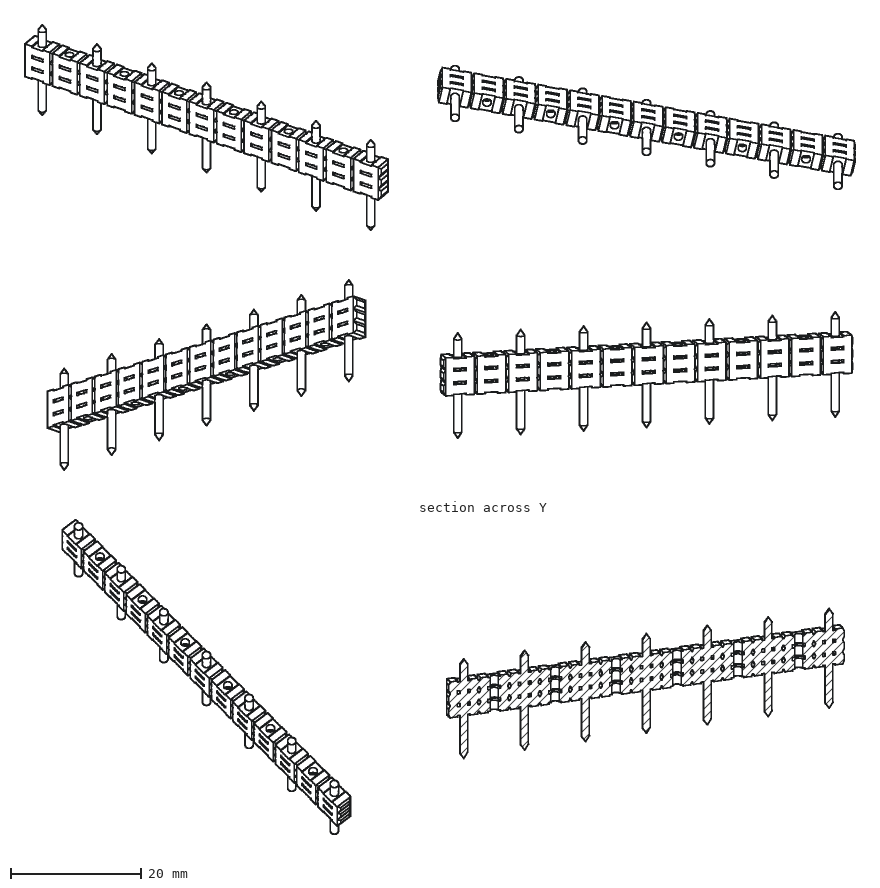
import cadquery as cq

ROW_LENGTH = 65.0
BLOCK_COUNT = 13
ROW_DEPTH = 2.8
BLOCK_HEIGHT = 6.0
PITCH = ROW_LENGTH / BLOCK_COUNT

LUG_COUNT = 3
LUG_LENGTH = 0.25
LUG_TAPER_INSET = 0.5
LUG_HEIGHT = BLOCK_HEIGHT / LUG_COUNT
BLOCK_LENGTH = PITCH - 2 * LUG_LENGTH

RECESS_LENGTH = 2.0
RECESS_DEPTH = 0.2
SLOT_LENGTH = 2.0
SLOT_HEIGHT = 0.45
SLOT_SPACING = 2.1

PIN_DIAMETER = 1.3
PIN_LENGTH = 16.5
PIN_TOP = 6.5
PIN_TIP_LENGTH = 1.0
PIN_STEP = 2


def make_lug(side, z):
    """Four-sided tapered lug growing along X from one end of a block."""
    plane = cq.Plane(origin=(side * BLOCK_LENGTH / 2, 0, z), xDir=(0, 1, 0), normal=(side, 0, 0))
    return (
        cq.Workplane(plane)
        .rect(ROW_DEPTH, LUG_HEIGHT)
        .workplane(offset=LUG_LENGTH)
        .rect(ROW_DEPTH - 2 * LUG_TAPER_INSET, LUG_HEIGHT - 2 * LUG_TAPER_INSET)
        .loft(ruled=True)
    )


def make_block():
    """One block with its recesses, slots, bore and end lugs."""
    block = cq.Workplane("XY").box(BLOCK_LENGTH, ROW_DEPTH, BLOCK_HEIGHT)
    recess = cq.Workplane("XY").box(RECESS_LENGTH, ROW_DEPTH, 2 * RECESS_DEPTH)
    slot = cq.Workplane("XY").box(SLOT_LENGTH, ROW_DEPTH, SLOT_HEIGHT)
    for side in (-1, 1):
        block = block.cut(recess.translate((0, 0, side * BLOCK_HEIGHT / 2)))
        block = block.cut(slot.translate((0, 0, side * SLOT_SPACING / 2)))
    block = block.cut(cq.Workplane("XY").circle(PIN_DIAMETER / 2).extrude(BLOCK_HEIGHT, both=True))
    for side in (-1, 1):
        for level in range(LUG_COUNT):
            lug_z = (level - (LUG_COUNT - 1) / 2) * LUG_HEIGHT
            block = block.union(make_lug(side, lug_z))
    return block


def make_pin():
    """Round pin with a pointed cone at each end."""
    radius = PIN_DIAMETER / 2
    bottom = PIN_TOP - PIN_LENGTH
    return (
        cq.Workplane("XZ")
        .moveTo(0, bottom)
        .lineTo(radius, bottom + PIN_TIP_LENGTH)
        .lineTo(radius, PIN_TOP - PIN_TIP_LENGTH)
        .lineTo(0, PIN_TOP)
        .close()
        .revolve(360, (0, 0, 0), (0, 1, 0))
    )


open_block = make_block()
pin_block = open_block.union(make_pin())
result = cq.Workplane("XY")
for index in range(BLOCK_COUNT):
    block = pin_block if index % PIN_STEP == 0 else open_block
    block_x = (index - (BLOCK_COUNT - 1) / 2) * PITCH
    result = result.union(block.translate((block_x, 0, 0)))